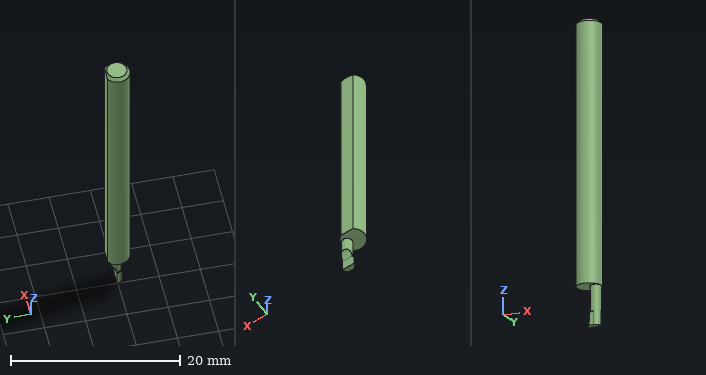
import cadquery as cq

total_length = 38.1
shank_diameter = 3.15
shank_radius = shank_diameter / 2
flat_offset = 1.35
top_chamfer = 0.4
shank_bottom = 5.1

neck_diameter = 1.4
neck_radius = neck_diameter / 2
neck_center_x = shank_radius - neck_radius

tooth_height = 1.8
tooth_tip_x = -0.15
tooth_back_taper = 0.095
flank_break_x = 0.08
flank_break_y = -0.45
land_start_x = 0.285

runout_radius = 1.15
rake_top = tooth_height + runout_radius
relief_angle_x = 1.5
relief_angle_y = 6.0
cutter_size = 4 * shank_radius


def make_shank():
    bar = (
        cq.Workplane("XY", origin=(0, 0, shank_bottom))
        .circle(shank_radius)
        .extrude(total_length - shank_bottom)
        .faces(">Z")
        .chamfer(top_chamfer)
    )
    flat_cutter = (
        cq.Workplane("XY")
        .box(cutter_size, cutter_size, total_length, centered=(True, False, False))
        .translate((0, flat_offset, 0))
    )
    return bar.cut(flat_cutter)


def make_neck():
    return (
        cq.Workplane("XY")
        .center(neck_center_x, 0)
        .circle(neck_radius)
        .extrude(shank_bottom)
    )


def tooth_outline(shift):
    """Tooth section with its two-facet flank moved inward by shift."""
    return [
        (tooth_tip_x + shift, 0),
        (flank_break_x + shift, flank_break_y),
        (land_start_x + shift, -neck_radius),
        (neck_center_x, -neck_radius),
        (neck_center_x, 0),
    ]


def make_tooth():
    return (
        cq.Workplane("XY")
        .polyline(tooth_outline(0))
        .close()
        .workplane(offset=tooth_height)
        .polyline(tooth_outline(tooth_back_taper))
        .close()
        .loft(ruled=True)
    )


def make_rake_cutter():
    return (
        cq.Workplane("YZ", origin=(-cutter_size / 2, 0, 0))
        .lineTo(0, tooth_height)
        .radiusArc((runout_radius, rake_top), runout_radius)
        .lineTo(shank_radius, rake_top)
        .lineTo(shank_radius, 0)
        .close()
        .extrude(cutter_size)
    )


def make_end_relief_cutter():
    return (
        cq.Workplane("XY")
        .box(cutter_size, cutter_size, cutter_size, centered=(True, True, False))
        .translate((0, 0, -cutter_size))
        .rotate((0, 0, 0), (1, 0, 0), -relief_angle_y)
        .rotate((0, 0, 0), (0, 1, 0), -relief_angle_x)
        .translate((tooth_tip_x, 0, 0))
    )


stem = make_neck().union(make_tooth()).cut(make_rake_cutter()).cut(make_end_relief_cutter())
result = make_shank().union(stem)